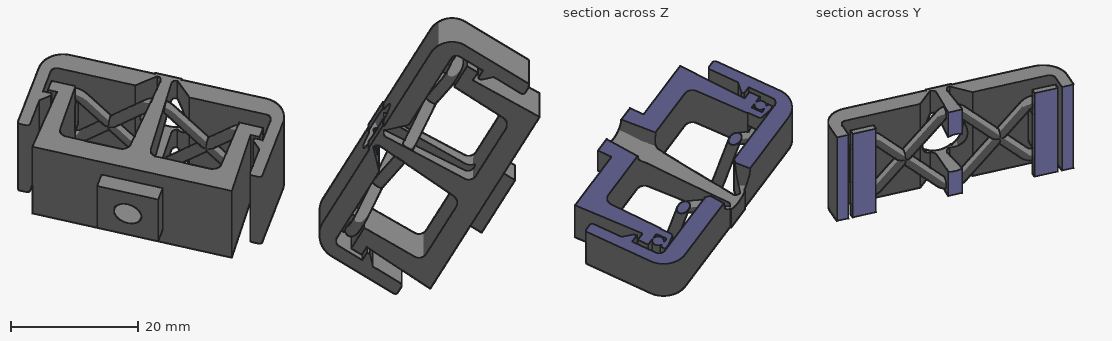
import cadquery as cq
import math


length = 40.0
height = 16.0
lid_back = 20.0

base_half_width = 16.3
floor_y = 3.5
wall_top_y = 14.0
wall_outer_top = 15.85
wall_inner_top = 13.4
wall_inner_floor = 13.15
tray_fillet = 1.35
lip_outer = 17.3
lip_under_y = 12.05

web_half_floor = 1.7
web_half_top = 0.9
hinge_under_y = 19.6
hinge_fillet = 0.75
hinge_strip_half_width = 2.15
hinge_strip_rise = 0.2

lid_thickness = 3.2
arm_thickness = 2.0
arm_end_y = 4.0
arm_end_fillet = 0.5
lid_outer_fillet = 4.0
lid_inner_fillet = 1.0
tooth_top_y = 11.5
tooth_tip_length = 0.5
tooth_depth = 1.45

boss_side = 10.0
boss_depth = 2.5
bore_front_diameter = 4.5
bore_back_diameter = 8.1

wire_diameter = 1.9
wire_y = 14.9
wire_end_x = 15.85
wire_cross_x = 8.0
wire_end_bend = 2.0
wire_centre_bend = 2.65

hook_height = 6.4
hook_inner_x = 13.5
hook_stem_outer_x = 14.8
hook_outer_x = 16.7
hook_head_under_y = 15.8
hook_top_y = 16.75
hook_flat_end_x = 15.7
hook_nose_y = 16.45
hook_nose_radius = 0.6

lid_inner_x = length / 2 - arm_thickness
lid_inner_y = lid_back - lid_thickness
hinge_back = lid_back + hinge_strip_rise


def extrude_full(outline):
    """Extrude a closed XY outline over the full height, centred on Z = 0."""
    return outline.close().extrude(height / 2, both=True)


def round_z_edges(body, x, y, radius):
    """Round the upright edge of the body that lies nearest to (x, y)."""
    return body.edges(cq.selectors.NearestToPointSelector((x, y, 0))).fillet(radius)


def make_tray_half():
    """Right half of the base: floor, lipped side wall and half of the web."""
    arc_offset = hinge_fillet * (1 - math.sqrt(0.5))
    outline = (
        cq.Workplane("XY")
        .moveTo(0, 0)
        .lineTo(base_half_width, 0)
        .lineTo(wall_outer_top, lip_under_y)
        .lineTo(lip_outer, lip_under_y)
        .lineTo(lip_outer, wall_top_y)
        .lineTo(wall_inner_top, wall_top_y)
        .lineTo(wall_inner_floor, floor_y)
        .lineTo(web_half_floor, floor_y)
        .lineTo(web_half_top, hinge_under_y - hinge_fillet)
        .threePointArc(
            (web_half_top + arc_offset, hinge_under_y - arc_offset),
            (web_half_top + hinge_fillet, hinge_under_y),
        )
        .lineTo(0, hinge_under_y)
    )
    tray = extrude_full(outline)
    tray = round_z_edges(tray, wall_inner_floor, floor_y, tray_fillet)
    return round_z_edges(tray, web_half_floor, floor_y, tray_fillet)


def make_lid_half():
    """Right half of the lid: hinge, mitered top plate and arm with snap tooth."""
    outer_x = length / 2
    miter_end_x = web_half_top + hinge_fillet
    miter_start_x = miter_end_x + hinge_under_y - lid_inner_y
    tooth_x = lid_inner_x - tooth_depth
    tooth_tip_y = tooth_top_y - tooth_tip_length
    outline = (
        cq.Workplane("XY")
        .moveTo(0, hinge_under_y)
        .lineTo(0, hinge_back)
        .lineTo(hinge_strip_half_width, hinge_back)
        .lineTo(hinge_strip_half_width, lid_back)
        .lineTo(outer_x, lid_back)
        .lineTo(outer_x, arm_end_y)
        .lineTo(lid_inner_x, arm_end_y)
        .lineTo(lid_inner_x, tooth_tip_y - tooth_depth)
        .lineTo(tooth_x, tooth_tip_y)
        .lineTo(tooth_x, tooth_top_y)
        .lineTo(lid_inner_x, tooth_top_y)
        .lineTo(lid_inner_x, lid_inner_y)
        .lineTo(miter_start_x, lid_inner_y)
        .lineTo(miter_end_x, hinge_under_y)
    )
    lid = extrude_full(outline)
    lid = round_z_edges(lid, outer_x, lid_back, lid_outer_fillet)
    lid = round_z_edges(lid, lid_inner_x, lid_inner_y, lid_inner_fillet)
    lid = round_z_edges(lid, outer_x, arm_end_y, arm_end_fillet)
    return round_z_edges(lid, lid_inner_x, arm_end_y, arm_end_fillet)


def make_hook():
    """Right hook: a stem on the wall top with a head reaching out over the wire."""
    nose_x = hook_inner_x + hook_nose_radius
    arc_offset = hook_nose_radius * (1 - math.sqrt(0.5))
    return (
        cq.Workplane("XY")
        .moveTo(hook_inner_x, wall_top_y)
        .lineTo(hook_stem_outer_x, wall_top_y)
        .lineTo(hook_stem_outer_x, hook_head_under_y)
        .lineTo(hook_outer_x, hook_head_under_y)
        .lineTo(hook_outer_x, hook_top_y)
        .lineTo(hook_flat_end_x, hook_top_y)
        .lineTo(nose_x, hook_nose_y)
        .threePointArc(
            (hook_inner_x + arc_offset, hook_nose_y - arc_offset),
            (hook_inner_x, hook_nose_y - hook_nose_radius),
        )
        .close()
        .extrude(hook_height / 2, both=True)
    )


def make_wire_strand():
    """One strand, from the right end leg over the centre bend to the left end leg."""
    diagonal = math.sqrt(0.5)
    end_reach = wire_end_x - wire_cross_x
    end_half_turn = math.radians(135 / 2)
    end_tangent = wire_end_bend * math.tan(end_half_turn)
    end_centre = (wire_end_x - wire_end_bend, end_reach - end_tangent)
    end_bend_tangent = (
        end_centre[0] - wire_end_bend * diagonal,
        end_centre[1] + wire_end_bend * diagonal,
    )
    end_mid = (
        end_centre[0] + wire_end_bend * math.cos(end_half_turn),
        end_centre[1] + wire_end_bend * math.sin(end_half_turn),
    )
    centre_tangent_x = wire_centre_bend * diagonal
    centre_tangent_z = wire_cross_x - centre_tangent_x
    centre_top = centre_tangent_z + wire_centre_bend * (1 - diagonal)

    path = (
        cq.Workplane("XZ", origin=(0, wire_y, 0))
        .moveTo(wire_end_x, 0)
        .lineTo(wire_end_x, -end_centre[1])
        .threePointArc(
            (end_mid[0], -end_mid[1]),
            (end_bend_tangent[0], -end_bend_tangent[1]),
        )
        .lineTo(centre_tangent_x, centre_tangent_z)
        .threePointArc((0, centre_top), (-centre_tangent_x, centre_tangent_z))
        .lineTo(-end_bend_tangent[0], -end_bend_tangent[1])
        .threePointArc((-end_mid[0], -end_mid[1]), (-wire_end_x, -end_centre[1]))
        .lineTo(-wire_end_x, 0)
    )
    section = cq.Workplane("XY", origin=(wire_end_x, wire_y, 0)).circle(wire_diameter / 2)
    return section.sweep(path)


def make_bore():
    """Cone along Y that widens from the boss face to the hinge strip."""
    return (
        cq.Workplane("XY")
        .moveTo(0, -boss_depth)
        .lineTo(bore_front_diameter / 2, -boss_depth)
        .lineTo(bore_back_diameter / 2, hinge_back)
        .lineTo(0, hinge_back)
        .close()
        .revolve(360, (0, 0, 0), (0, 1, 0))
    )


half_body = make_tray_half().union(make_lid_half()).union(make_hook())

body = half_body.union(half_body.mirror("YZ"))
boss = cq.Workplane("XY", origin=(0, -boss_depth / 2, 0)).box(boss_side, boss_depth, boss_side)
body = body.union(boss).cut(make_bore())

strand = make_wire_strand()
result = body.union(strand).union(strand.mirror("XY"))